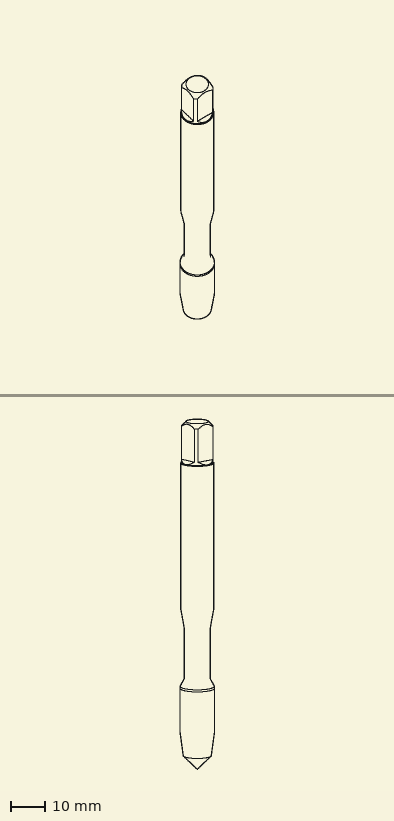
import cadquery as cq
import math


total_height = 104.3
flat_bottom_z = 93.0
shank_bottom_z = 48.0
body_joint_z = 24.3
collar_top_z = 24.9
lead_top_z = 11.0

head_radius = 10.1 / 2
shank_radius = 9.7 / 2
drive_radius = 9.3 / 2
neck_radius = 7.7 / 2
point_radius = 4.2

square_width = 7.3
drive_chamfer = 1.4
shank_chamfer = shank_radius - drive_radius

shoulder_angle = math.radians(29)
taper_angle = math.radians(10)
neck_fillet = 1.3

point_height = point_radius
half_square = square_width / 2
shank_top_z = flat_bottom_z - (shank_radius - half_square)


def blend(angle):
    """Height, radial growth and midpoint of a neck fillet that turns through an angle."""
    height = neck_fillet * math.sin(angle)
    growth = neck_fillet * (1 - math.cos(angle))
    mid_height = neck_fillet * math.sin(angle / 2)
    mid_growth = neck_fillet * (1 - math.cos(angle / 2))
    return height, growth, mid_height, mid_growth


def make_cutting_head():
    """Conical point, tapered lead and straight cylinder."""
    return (
        cq.Workplane("XZ")
        .moveTo(0, 0)
        .lineTo(point_radius, point_height)
        .lineTo(head_radius, lead_top_z)
        .lineTo(head_radius, body_joint_z)
        .lineTo(0, body_joint_z)
        .close()
        .revolve(360, (0, 0), (0, 1))
    )


def make_turned_shank():
    """Collar, neck, shank and round drive blank as one revolved outline."""
    low_height, low_growth, low_mid_height, low_mid_growth = blend(shoulder_angle)
    high_height, high_growth, high_mid_height, high_mid_growth = blend(taper_angle)

    shoulder_top_radius = neck_radius + low_growth
    shoulder_top_z = collar_top_z + (head_radius - shoulder_top_radius) / math.tan(shoulder_angle)
    neck_bottom_z = shoulder_top_z + low_height

    taper_bottom_radius = neck_radius + high_growth
    taper_bottom_z = shank_bottom_z - (shank_radius - taper_bottom_radius) / math.tan(taper_angle)
    neck_top_z = taper_bottom_z - high_height

    return (
        cq.Workplane("XZ")
        .moveTo(0, body_joint_z)
        .lineTo(head_radius, body_joint_z)
        .lineTo(head_radius, collar_top_z)
        .lineTo(shoulder_top_radius, shoulder_top_z)
        .threePointArc(
            (neck_radius + low_mid_growth, neck_bottom_z - low_mid_height),
            (neck_radius, neck_bottom_z),
        )
        .lineTo(neck_radius, neck_top_z)
        .threePointArc(
            (neck_radius + high_mid_growth, neck_top_z + high_mid_height),
            (taper_bottom_radius, taper_bottom_z),
        )
        .lineTo(shank_radius, shank_bottom_z)
        .lineTo(shank_radius, shank_top_z)
        .lineTo(drive_radius, shank_top_z + shank_chamfer)
        .lineTo(drive_radius, total_height - drive_chamfer)
        .lineTo(drive_radius - drive_chamfer, total_height)
        .lineTo(0, total_height)
        .close()
        .revolve(360, (0, 0), (0, 1))
    )


def make_flat_cutter():
    """Prism that cuts the +X flat of the drive, with a 45 degree run-out at its lower end."""
    depth = head_radius
    return (
        cq.Workplane("XZ")
        .moveTo(half_square, total_height)
        .lineTo(half_square, flat_bottom_z)
        .lineTo(half_square + depth, flat_bottom_z - depth)
        .lineTo(half_square + depth, total_height)
        .close()
        .extrude(head_radius, both=True)
    )


def make_shank():
    """Turned shank with four flats that form the square drive."""
    shank = make_turned_shank()
    flat_cutter = make_flat_cutter()
    for quarter in range(4):
        shank = shank.cut(flat_cutter.rotate((0, 0, 0), (0, 0, 1), quarter * 90))
    return shank


cutting_head = make_cutting_head()
shank = make_shank()

result = cq.Compound.makeCompound([cutting_head.val(), *shank.solids().vals()])